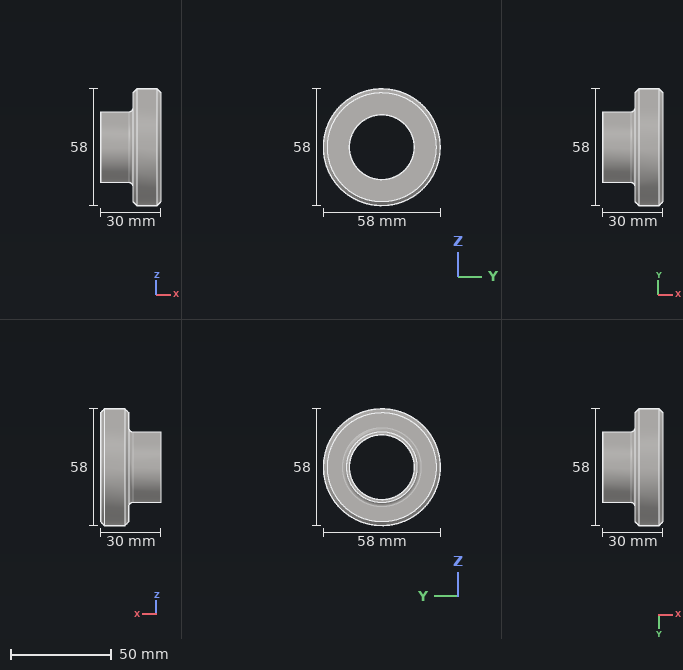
import cadquery as cq

total_length = 30.0
flange_diameter = 58.0
flange_thickness = 14.0
tube_diameter = 35.0
bore_diameter = 32.0
rim_chamfer = 2.0
neck_fillet_radius = 2.0

flange_radius = flange_diameter / 2
tube_radius = tube_diameter / 2
bore_radius = bore_diameter / 2
flange_start = total_length - flange_thickness


def concave_neck_midpoint():
    """Return the middle point of the fillet arc between tube and flange."""
    diagonal_offset = neck_fillet_radius * 0.5**0.5
    center_x = flange_start - neck_fillet_radius
    center_radius = tube_radius + neck_fillet_radius
    return (center_x + diagonal_offset, center_radius - diagonal_offset)


def make_collar():
    """Revolve the half section: thin tube, filleted neck and chamfered flange."""
    half_section = (
        cq.Workplane("XY")
        .moveTo(0, bore_radius)
        .lineTo(0, tube_radius)
        .lineTo(flange_start - neck_fillet_radius, tube_radius)
        .threePointArc(concave_neck_midpoint(), (flange_start, tube_radius + neck_fillet_radius))
        .lineTo(flange_start, flange_radius - rim_chamfer)
        .lineTo(flange_start + rim_chamfer, flange_radius)
        .lineTo(total_length - rim_chamfer, flange_radius)
        .lineTo(total_length, flange_radius - rim_chamfer)
        .lineTo(total_length, bore_radius)
        .close()
    )
    return half_section.revolve(360, (0, 0, 0), (1, 0, 0))


result = make_collar()